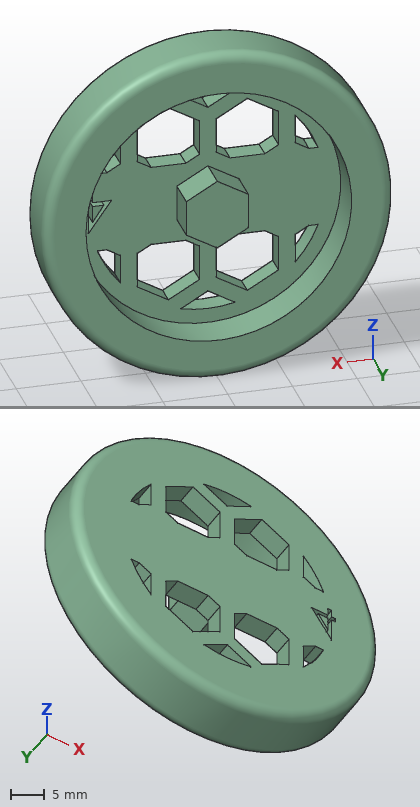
import cadquery as cq
import math

OUTER_DIAMETER = 54.0
WIDTH = 9.55
EDGE_RADIUS = 1.6
FACE_THICKNESS = 3.35
CAVITY_RADIUS = 20.5

WINDOW_RADIUS = 18.2
HEX_FLATS = 9.6
COLUMN_PITCH = 12.2
ROW_PITCH = 10.4
BAND_HEIGHT = 12.85

POST_LENGTH = 5.4

STEM_LEFT = 17.8
STEM_RIGHT = 18.45
STEM_TOP = 3.2
BAR_TOP = 1.75
BAR_BOTTOM = 1.1
BAR_RIGHT = 19.1
OPENING_TIP_X = 14.9
OPENING_TIP_Z = -3.35
ISLAND_TIP_X = 16.1
ISLAND_TIP_Z = -1.55

FRONT_Y = -WIDTH / 2
FACE_BACK_Y = FRONT_Y + FACE_THICKNESS
HEX_CORNER_DIAMETER = HEX_FLATS / math.cos(math.pi / 6)


def plane_at(y):
    """Sketch plane at the given Y: local x is +X, local y is +Z, normal is -Y."""
    return cq.Workplane("XZ", origin=(0, y, 0))


def hex_prism(x, z, y, depth):
    """Hexagonal prism with a corner pointing up, running from y towards +Y."""
    plane = cq.Plane(origin=(x, y, z), xDir=(0, 0, 1), normal=(0, -1, 0))
    return cq.Workplane(plane).polygon(6, HEX_CORNER_DIAMETER).extrude(-depth)


def make_shell():
    """Round cup, open at the back, with both outer rim edges rounded."""
    disc = plane_at(FRONT_Y).circle(OUTER_DIAMETER / 2).extrude(-WIDTH)
    disc = disc.edges().fillet(EDGE_RADIUS)
    cavity = plane_at(FACE_BACK_Y).circle(CAVITY_RADIUS).extrude(-(WIDTH - FACE_THICKNESS))
    return disc.cut(cavity)


def make_honeycomb():
    """Hexagonal cells trimmed by the round window and by the plain middle band."""
    window = plane_at(FRONT_Y).circle(WINDOW_RADIUS).extrude(-FACE_THICKNESS)
    band = plane_at(FRONT_Y).rect(OUTER_DIAMETER, BAND_HEIGHT).extrude(-FACE_THICKNESS)
    centres = []
    for side in (-1, 1):
        centres += [(k * COLUMN_PITCH / 2, side * ROW_PITCH) for k in (-3, -1, 1, 3)]
        centres.append((0, 2 * side * ROW_PITCH))
    cells = cq.Workplane()
    for x, z in centres:
        cells = cells.add(hex_prism(x, z, FRONT_Y, FACE_THICKNESS))
    return cells.combine().intersect(window).cut(band)


def make_island():
    """Loose triangle, as thick as the face, standing free inside its opening."""
    corners = [(ISLAND_TIP_X, BAR_BOTTOM), (STEM_LEFT, BAR_BOTTOM), (STEM_LEFT, ISLAND_TIP_Z)]
    return plane_at(FRONT_Y).polyline(corners).close().extrude(-FACE_THICKNESS)


def make_opening():
    """Opening that holds the island: a triangle with a stem above it and a bar beside it."""
    corners = [
        (OPENING_TIP_X, BAR_TOP),
        (STEM_LEFT, BAR_TOP),
        (STEM_LEFT, STEM_TOP),
        (STEM_RIGHT, STEM_TOP),
        (STEM_RIGHT, BAR_TOP),
        (BAR_RIGHT, BAR_TOP),
        (BAR_RIGHT, BAR_BOTTOM),
        (STEM_RIGHT, BAR_BOTTOM),
        (STEM_RIGHT, OPENING_TIP_Z),
    ]
    return plane_at(FRONT_Y).polyline(corners).close().extrude(-FACE_THICKNESS)


def make_housing():
    """Cup with its window, its middle post and the opening for the island."""
    post = hex_prism(0, 0, FACE_BACK_Y, POST_LENGTH)
    return make_shell().union(post).cut(make_honeycomb()).cut(make_opening())


housing = make_housing()
island = make_island()

result = cq.Compound.makeCompound([housing.val(), island.val()])